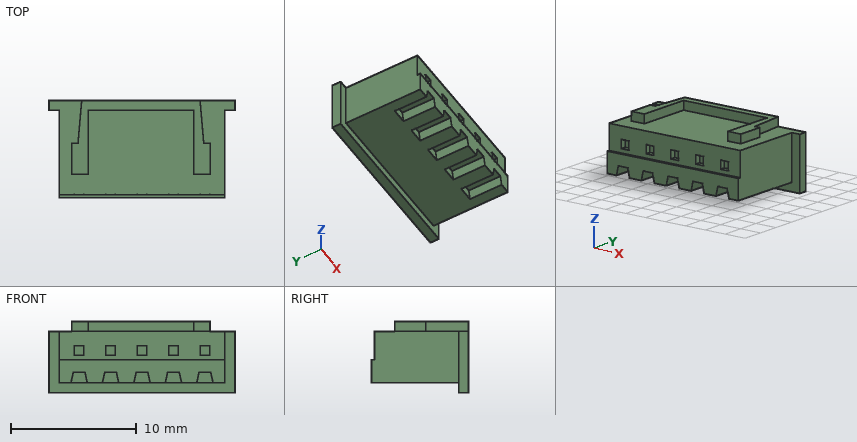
import cadquery as cq

total_width = 14.8
total_depth = 7.75
total_height = 5.7

wall = 0.8

rear = total_depth / 2
front = -total_depth / 2
bottom = -total_height / 2
deck = total_height / 2 - wall

body_width = total_width - 2 * wall
body_bottom = bottom + wall

ledge_depth = 0.25
ledge_height = 1.85
upper_front = front + ledge_depth

contact_count = 5
contact_pitch = 2.5
contact_places = [(i - (contact_count - 1) / 2) * contact_pitch for i in range(contact_count)]

window_size = 0.75
window_depth = 0.5
window_center_z = bottom + 3.39

notch_bottom_width = 1.3
notch_top_width = 0.93
notch_height = 0.83
notch_depth = 2.96

rim_center_x = -0.09
rim_inner_width = 8.4
rim_rear_width = 9.41
rim_neck_width = 10.0
rim_foot_width = 11.01
rim_shoulder_y = rear - 3.43
rim_end_y = rear - 5.89


def box(width, y_start, y_end, z_start, z_end, center_x=0.0):
    """Block centred on center_x that spans the given Y and Z ranges."""
    block = cq.Workplane("XY").box(width, y_end - y_start, z_end - z_start, centered=(True, False, False))
    return block.translate((center_x, y_start, z_start))


def make_flange():
    return box(total_width, rear - wall, rear, bottom, deck)


def make_body():
    upper = box(body_width, upper_front, rear, body_bottom, deck)
    ledge = box(body_width, front, rear, body_bottom, body_bottom + ledge_height)
    return upper.union(ledge)


def make_rim():
    """U-shaped rim, open to the front, with tapered arms that end in wider feet."""
    right_side = [
        (rim_rear_width / 2, rear),
        (rim_neck_width / 2, rim_shoulder_y),
        (rim_foot_width / 2, rim_shoulder_y),
        (rim_foot_width / 2, rim_end_y),
        (rim_inner_width / 2, rim_end_y),
        (rim_inner_width / 2, rear - wall),
    ]
    left_side = [(-x, y) for x, y in reversed(right_side)]
    outline = cq.Workplane("XY").polyline(right_side + left_side).close()
    return outline.extrude(wall).translate((rim_center_x, 0, deck))


def make_window(x):
    """Square blind pocket in the upper front face."""
    half = window_size / 2
    return box(
        window_size,
        upper_front,
        upper_front + window_depth,
        window_center_z - half,
        window_center_z + half,
        x,
    )


def make_notch(x):
    """Tapered notch in the lower front edge, open at the front and underneath."""
    profile = [
        (-notch_bottom_width / 2, 0),
        (notch_bottom_width / 2, 0),
        (notch_top_width / 2, notch_height),
        (-notch_top_width / 2, notch_height),
    ]
    notch = cq.Workplane("XZ").polyline(profile).close().extrude(-notch_depth)
    return notch.translate((x, front, body_bottom))


result = make_body().union(make_flange()).union(make_rim())
for place in contact_places:
    result = result.cut(make_window(place)).cut(make_notch(place))